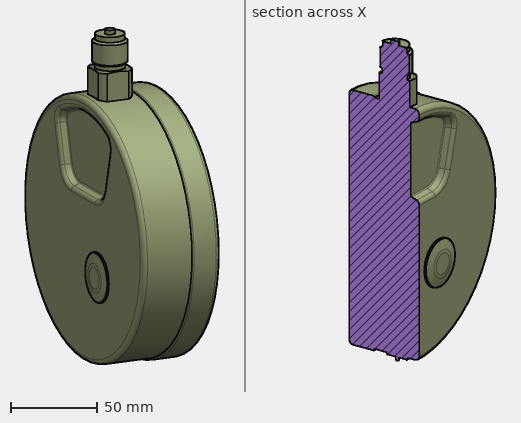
import cadquery as cq
import math


bezel_diameter = 161.3
bezel_depth = 18.0
bezel_back_fillet = 3.0
bezel_front_fillet = 0.7

case_diameter = 159.0
case_radius = case_diameter / 2
case_depth = 50.0
case_front_fillet = 3.2

pocket_depth = 6.0
pocket_draft = 20.0
pocket_mouth_fillet = 3.0
pocket_floor_fillet = 0.8
pocket_rim_arc_radius = 74.0
pocket_rim_bottom_z = 19.2
pocket_rim_half_width = 28.0
pocket_side_angle = 15.0
pocket_rim_lower_radius = 16.0
pocket_rim_upper_radius = 10.3

plug_x = 20.0
plug_z = -23.9
plug_diameter = 30.0
plug_rim_height = 1.1
plug_rim_chamfer = 0.3
plug_shoulder_diameter = 17.5
plug_shoulder_height = 2.3
plug_top_diameter = 13.2
plug_height = 2.5

stem_y = -32.5
stem_top_z = 119.0
pin_diameter = 6.0
pin_length = 2.5
tip_diameter = 17.5
tip_length = 3.2
thread_diameter = 20.96
thread_length = 14.6
thread_chamfer_length = 1.2
neck_diameter = 18.0
neck_length = 2.5
square_width = 22.0
square_corner_diameter = 26.0
square_top_diameter = 21.6
square_top_chamfer = 0.6

vent_y = -34.2
vent_disc_diameter = 15.0
vent_disc_bottom_z = -80.7
vent_disc_chamfer = 0.5
vent_pin_diameter = 2.5
vent_pin_bottom_z = -83.0


def cylinder_along_y(diameter, y_back, y_front):
    """Cylinder on the gauge axis between two Y positions, y_front being the lower."""
    return cq.Workplane("XZ", origin=(0, y_back, 0)).circle(diameter / 2).extrude(y_back - y_front)


def make_body():
    bezel = cylinder_along_y(bezel_diameter, 0, -bezel_depth)
    bezel = bezel.faces(">Y").edges().fillet(bezel_back_fillet)
    bezel = bezel.faces("<Y").edges().fillet(bezel_front_fillet)
    case = cylinder_along_y(case_diameter, -bezel_depth / 2, -case_depth)
    case = case.faces("<Y").edges().fillet(case_front_fillet)
    return bezel.union(case)


def make_pocket_cutter():
    """Tapered pocket whose outline is the rim outline moved inward to the unfilleted mouth edge."""
    draft = math.radians(pocket_draft)
    side = math.radians(pocket_side_angle)
    rim_inset = pocket_mouth_fillet * math.tan((math.pi / 2 - draft) / 2)

    arc_radius = pocket_rim_arc_radius - rim_inset
    bottom_z = pocket_rim_bottom_z + rim_inset
    bottom_x = pocket_rim_half_width - rim_inset * math.tan((math.pi / 2 - side) / 2)

    along = bottom_x * math.sin(side) + bottom_z * math.cos(side)
    gap = arc_radius**2 - bottom_x**2 - bottom_z**2
    side_length = math.sqrt(along**2 + gap) - along
    top_x = bottom_x + side_length * math.sin(side)
    top_z = bottom_z + side_length * math.cos(side)

    outline = (
        cq.Sketch()
        .segment((-bottom_x, bottom_z), (bottom_x, bottom_z))
        .segment((top_x, top_z))
        .arc((top_x, top_z), (0, arc_radius), (-top_x, top_z))
        .segment((-top_x, top_z), (-bottom_x, bottom_z))
        .assemble()
        .vertices("<Y").fillet(pocket_rim_lower_radius - rim_inset)
        .reset()
        .vertices(">Y").fillet(pocket_rim_upper_radius - rim_inset)
    )
    cutter = (
        cq.Workplane("XZ", origin=(0, -case_depth, 0))
        .placeSketch(outline)
        .extrude(-pocket_depth, taper=pocket_draft)
    )
    return cutter.faces(">Y").edges().fillet(pocket_floor_fillet)


def cut_pocket(body):
    body = body.cut(make_pocket_cutter())
    margin = 1.0
    mouth_box = cq.selectors.BoxSelector(
        (-case_radius / 2 - margin, -case_depth - margin, pocket_rim_bottom_z),
        (case_radius / 2 + margin, -case_depth + margin, pocket_rim_arc_radius),
    )
    return body.edges(mouth_box).fillet(pocket_mouth_fillet)


def make_plug():
    """Turned plug: short chamfered rim, conical flank, rounded-off shoulder and flat top."""
    embed = 1.0
    profile = [
        (0, -embed),
        (plug_diameter / 2, -embed),
        (plug_diameter / 2, plug_rim_height - plug_rim_chamfer),
        (plug_diameter / 2 - plug_rim_chamfer, plug_rim_height),
        (plug_shoulder_diameter / 2, plug_shoulder_height),
        (plug_top_diameter / 2, plug_height),
        (0, plug_height),
    ]
    outward = cq.Plane(origin=(plug_x, -case_depth, plug_z), xDir=(1, 0, 0), normal=(0, 0, -1))
    return cq.Workplane(outward).polyline(profile).close().revolve(360, (0, 0), (0, 1))


def make_stem():
    tip_top_z = stem_top_z - pin_length
    thread_top_z = tip_top_z - tip_length
    thread_bottom_z = thread_top_z - thread_length
    square_top_z = thread_bottom_z - neck_length
    square_bottom_z = case_radius - case_front_fillet

    def section(diameter, bottom_z, top_z):
        base = cq.Workplane("XY", origin=(0, stem_y, bottom_z))
        return base.circle(diameter / 2).extrude(top_z - bottom_z)

    thread = section(thread_diameter, thread_bottom_z, thread_top_z)
    tip_step = (thread_diameter - tip_diameter) / 2
    neck_step = (thread_diameter - neck_diameter) / 2
    thread = thread.faces(">Z").edges().chamfer(thread_chamfer_length, tip_step)
    thread = thread.faces("<Z").edges().chamfer(thread_chamfer_length, neck_step)
    square_envelope = section(square_corner_diameter, square_bottom_z, square_top_z)
    top_chamfer_width = (square_corner_diameter - square_top_diameter) / 2
    square_envelope = square_envelope.faces(">Z").edges().chamfer(square_top_chamfer, top_chamfer_width)
    square = (
        cq.Workplane("XY", origin=(0, stem_y, square_bottom_z))
        .rect(square_width, square_width)
        .extrude(square_top_z - square_bottom_z)
        .intersect(square_envelope)
    )
    return (
        square
        .union(section(neck_diameter, square_top_z, thread_bottom_z))
        .union(thread)
        .union(section(tip_diameter, thread_top_z, tip_top_z))
        .union(section(pin_diameter, tip_top_z, stem_top_z))
    )


def make_vent():
    top_z = -case_radius + case_front_fillet
    disc = (
        cq.Workplane("XY", origin=(0, vent_y, vent_disc_bottom_z))
        .circle(vent_disc_diameter / 2)
        .extrude(top_z - vent_disc_bottom_z)
        .faces("<Z").edges().chamfer(vent_disc_chamfer)
    )
    pin_radius = vent_pin_diameter / 2
    dome_center_z = vent_pin_bottom_z + pin_radius
    dome_center = cq.Workplane("XY", origin=(0, vent_y, dome_center_z))
    pin = dome_center.circle(pin_radius).extrude(top_z - dome_center_z)
    dome = dome_center.sphere(pin_radius)
    return disc.union(pin).union(dome)


result = cut_pocket(make_body()).union(make_plug()).union(make_stem()).union(make_vent())